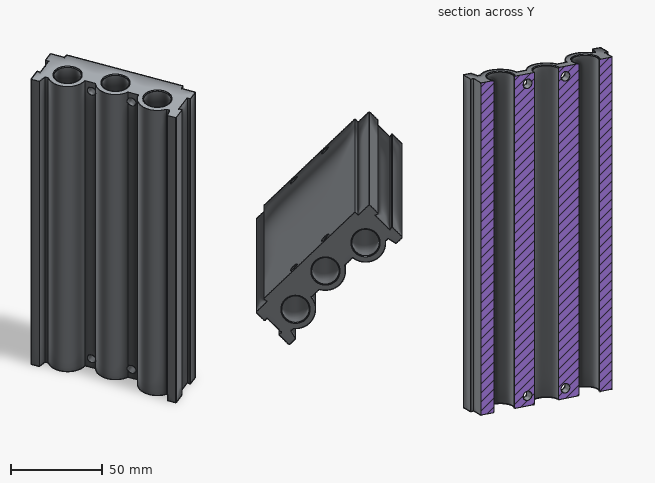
import cadquery as cq

width = 87.0
depth = 28.5
length = 193.5

pad_width = 70.0
pad_height = 2.5
shoulder_y = depth - pad_height

floor_y = 10.9
ledge_y = 5.0

foot_tip_width = 5.0
foot_root_width = 6.2

groove_depth = 2.0
groove_center_y = 13.65
groove_lip_gap = 10.7
groove_base = 11.5

edge_chamfer = 0.3

tube_outer_radius = 11.0
bore_diameter = 15.0
bore_chamfer = 0.5
outer_tube_x = 26.9
outer_tube_y = 12.0
middle_tube_y = 16.0
tube_centers = [(-outer_tube_x, outer_tube_y), (0, middle_tube_y), (outer_tube_x, outer_tube_y)]

mount_hole_diameter = 5.2
mount_hole_x = 12.0
mount_hole_end_distance = 6.0


def make_body():
    """Extruded bar without tubes: pad, shoulders, feet and the recessed front floor."""
    half_width = width / 2
    half_pad = pad_width / 2
    right_half = [
        (half_pad, depth),
        (half_pad, shoulder_y),
        (half_width - edge_chamfer, shoulder_y),
        (half_width, shoulder_y - edge_chamfer),
        (half_width, edge_chamfer),
        (half_width - edge_chamfer, 0),
        (half_width - foot_tip_width, 0),
        (half_width - foot_root_width, ledge_y),
        (outer_tube_x, ledge_y),
        (outer_tube_x, floor_y),
    ]
    left_half = [(-x, y) for x, y in reversed(right_half)]
    return cq.Workplane("XY").polyline(right_half + left_half).close().extrude(length)


def make_side_groove(side):
    """Dovetail groove with chamfered lips for one side face; side is +1 or -1."""
    mouth_x = side * width / 2
    lip_x = side * (width / 2 - edge_chamfer)
    base_x = side * (width / 2 - groove_depth)
    half_lip = groove_lip_gap / 2
    half_mouth = half_lip + edge_chamfer
    half_base = groove_base / 2
    upper_half = [(mouth_x, half_mouth), (lip_x, half_lip), (base_x, half_base)]
    lower_half = [(x, -y) for x, y in reversed(upper_half)]
    outline = [(x, groove_center_y + y) for x, y in upper_half + lower_half]
    return cq.Workplane("XY").polyline(outline).close().extrude(length)


def make_tubes():
    """Solid cylinders forming the tube walls."""
    return cq.Workplane("XY").pushPoints(tube_centers).circle(tube_outer_radius).extrude(length)


def make_bore(center):
    """Through bore widened by a small chamfer at both ends."""
    radius = bore_diameter / 2
    mouth_radius = radius + bore_chamfer
    half_section = [
        (0, 0),
        (mouth_radius, 0),
        (radius, bore_chamfer),
        (radius, length - bore_chamfer),
        (mouth_radius, length),
        (0, length),
    ]
    bore = cq.Workplane("XZ").polyline(half_section).close().revolve(360, (0, 0), (0, 1))
    return bore.translate((center[0], center[1], 0))


def make_mount_holes():
    """Four through holes along Y, two near each end."""
    end_z = (mount_hole_end_distance, length - mount_hole_end_distance)
    points = [(x, z) for x in (-mount_hole_x, mount_hole_x) for z in end_z]
    return cq.Workplane("XZ").pushPoints(points).circle(mount_hole_diameter / 2).extrude(-depth)


result = make_body().union(make_tubes())
for side in (-1, 1):
    result = result.cut(make_side_groove(side))
for center in tube_centers:
    result = result.cut(make_bore(center))
result = result.cut(make_mount_holes())